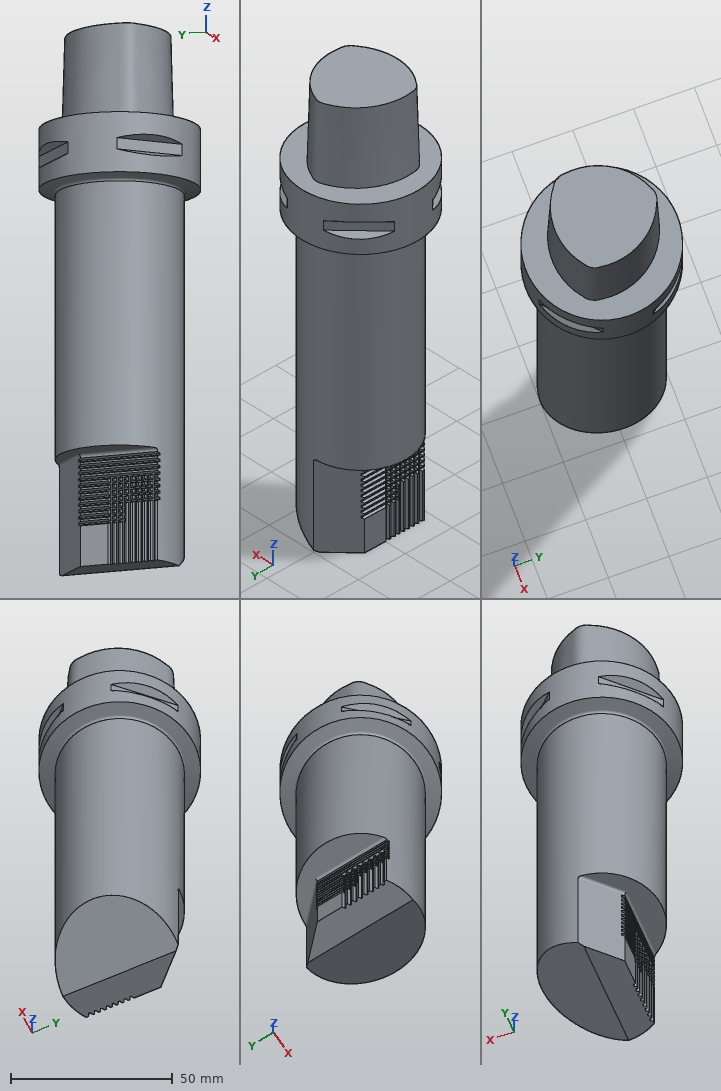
import cadquery as cq
import math

total_length = 170.0
taper_length = 30.0
flange_rim_length = 19.0
flange_cone_height = 1.0
flange_fillet_radius = 0.8

shank_diameter = 40.0
flange_diameter = 50.0
flange_radius = flange_diameter / 2
shank_radius = shank_diameter / 2

flange_top = total_length - taper_length
rim_bottom = flange_top - flange_rim_length
cone_bottom = rim_bottom - flange_cone_height
cone_angle = math.atan(flange_cone_height / (flange_radius - shank_radius))
flange_fillet_reach = flange_fillet_radius * math.tan((math.pi / 2 - cone_angle) / 2)
shank_top = cone_bottom - flange_fillet_reach

lobe_count = 3
lobe_radius = 5.8
lobe_center_distance = 13.0
flank_reach = 16.3
lobe_half_angle = 30.0
first_lobe_direction = 90.0
taper_inset = 0.8
taper_angle = math.degrees(math.atan(taper_inset / taper_length))

pocket_count = 4
first_pocket_direction = 45.0
pocket_floor_distance = 22.5
pocket_floor_height = 3.5
pocket_center_depth = 10.0
pocket_wall_slope = 30.0

seat_height = 35.5
seat_distance = 11.0
seat_edge_y = 8.8
seat_corner_radius = 0.8

groove_depth = 0.8
groove_floor_width = 0.42
groove_angle = 60.0
groove_floor_half = groove_floor_width / 2
groove_mouth_half = groove_floor_half + groove_depth * math.tan(math.radians(groove_angle / 2))
groove_pitch = 2.0
first_cross_groove_z = 33.7
long_cross_grooves = 8
short_cross_grooves = 3
lengthwise_grooves = 8
first_lengthwise_groove_y = -groove_pitch / 2
lengthwise_groove_top = 27.7
short_cross_groove_end_y = -short_cross_grooves * groove_pitch

bevel_height = 12.2
bevel_angle = 30.0

clearance = 8.5


def polar(distance, degrees):
    angle = math.radians(degrees)
    return cq.Vector(distance * math.cos(angle), distance * math.sin(angle))


def lobed_outline(workplane):
    """Closed constant-width outline: small lobe arcs joined by large flank arcs."""
    start = polar(lobe_center_distance, first_lobe_direction) + polar(
        lobe_radius, first_lobe_direction - lobe_half_angle
    )
    outline = workplane.moveTo(start.x, start.y)
    lobe_step = 360.0 / lobe_count
    for index in range(lobe_count):
        direction = first_lobe_direction + index * lobe_step
        lobe_middle = polar(lobe_center_distance + lobe_radius, direction)
        lobe_end = polar(lobe_center_distance, direction) + polar(lobe_radius, direction + lobe_half_angle)
        flank_middle = polar(flank_reach, direction + lobe_step / 2)
        next_direction = direction + lobe_step
        flank_end = polar(lobe_center_distance, next_direction) + polar(
            lobe_radius, next_direction - lobe_half_angle
        )
        outline = outline.threePointArc(lobe_middle.toTuple()[:2], lobe_end.toTuple()[:2])
        outline = outline.threePointArc(flank_middle.toTuple()[:2], flank_end.toTuple()[:2])
    return outline.close()


def make_taper():
    base = cq.Workplane("XY").workplane(offset=flange_top)
    return lobed_outline(base).extrude(taper_length, taper=taper_angle)


def make_flange():
    """Rim with a shallow cone under it that blends into the shank diameter."""
    fillet_outer = (
        shank_radius + flange_fillet_reach * math.cos(cone_angle),
        cone_bottom + flange_fillet_reach * math.sin(cone_angle),
    )
    return (
        cq.Workplane("XZ")
        .moveTo(0, shank_top)
        .lineTo(shank_radius, shank_top)
        .radiusArc(fillet_outer, flange_fillet_radius)
        .lineTo(flange_radius, rim_bottom)
        .lineTo(flange_radius, flange_top)
        .lineTo(0, flange_top)
        .close()
        .revolve(360, (0, 0, 0), (0, 1, 0))
    )


def make_pocket_cutter(direction):
    """Flat-floored trough with sloping walls, running tangent to the rim."""
    reach = flange_radius + clearance
    center_z = flange_top - pocket_center_depth
    floor_half = pocket_floor_height / 2
    mouth_half = floor_half + (reach - pocket_floor_distance) * math.tan(math.radians(pocket_wall_slope))
    return (
        cq.Workplane("XZ")
        .moveTo(pocket_floor_distance, center_z - floor_half)
        .lineTo(reach, center_z - mouth_half)
        .lineTo(reach, center_z + mouth_half)
        .lineTo(pocket_floor_distance, center_z + floor_half)
        .close()
        .extrude(flange_radius, both=True)
        .rotate((0, 0, 0), (0, 0, 1), direction)
    )


def make_coupling():
    coupling = make_flange().union(make_taper())
    for index in range(pocket_count):
        direction = first_pocket_direction + index * 360.0 / pocket_count
        coupling = coupling.cut(make_pocket_cutter(direction))
    return coupling


def make_seat_cutter():
    """Removes the side of the shank back to the seat and a 45 degree relief face beside it."""
    reach = shank_radius + clearance
    relief_run = reach - seat_edge_y
    return (
        cq.Workplane("XY")
        .workplane(offset=-clearance)
        .moveTo(-reach, -reach)
        .lineTo(-seat_distance, -reach)
        .lineTo(-seat_distance, seat_edge_y)
        .lineTo(-seat_distance + relief_run, reach)
        .lineTo(-reach, reach)
        .close()
        .extrude(seat_height + clearance)
        .faces(">Z")
        .edges()
        .fillet(seat_corner_radius)
    )


def make_cross_groove(center_z, end_y):
    """Groove along Y, from the relief face down to end_y."""
    start_y = seat_edge_y + groove_pitch
    return (
        cq.Workplane("XZ", origin=(0, start_y, 0))
        .moveTo(-seat_distance + groove_depth, center_z - groove_floor_half)
        .lineTo(-seat_distance + groove_depth, center_z + groove_floor_half)
        .lineTo(-seat_distance, center_z + groove_mouth_half)
        .lineTo(-seat_distance, center_z - groove_mouth_half)
        .close()
        .extrude(start_y - end_y)
    )


def make_lengthwise_groove(center_y):
    """Groove along Z, open at the free end of the shank."""
    return (
        cq.Workplane("XY")
        .moveTo(-seat_distance + groove_depth, center_y - groove_floor_half)
        .lineTo(-seat_distance + groove_depth, center_y + groove_floor_half)
        .lineTo(-seat_distance, center_y + groove_mouth_half)
        .lineTo(-seat_distance, center_y - groove_mouth_half)
        .close()
        .extrude(lengthwise_groove_top)
    )


def make_end_bevel_cutter():
    """Wedge that slants the free end up toward +X."""
    reach = shank_radius + clearance
    slope = math.tan(math.radians(bevel_angle))
    start_x = shank_radius - bevel_height / slope
    return (
        cq.Workplane("XZ")
        .moveTo(start_x, 0)
        .lineTo(reach, 0)
        .lineTo(reach, (reach - start_x) * slope)
        .close()
        .extrude(reach, both=True)
    )


def make_shank():
    shank = cq.Workplane("XY").circle(shank_radius).extrude(shank_top)
    shank = shank.cut(make_seat_cutter())
    for index in range(long_cross_grooves + short_cross_grooves):
        center_z = first_cross_groove_z - index * groove_pitch
        end_y = -shank_radius if index < long_cross_grooves else short_cross_groove_end_y
        shank = shank.cut(make_cross_groove(center_z, end_y))
    for index in range(lengthwise_grooves):
        center_y = first_lengthwise_groove_y - index * groove_pitch
        shank = shank.cut(make_lengthwise_groove(center_y))
    return shank.cut(make_end_bevel_cutter())


coupling = make_coupling()
shank = make_shank()

result = cq.Compound.makeCompound([coupling.val(), shank.val()])